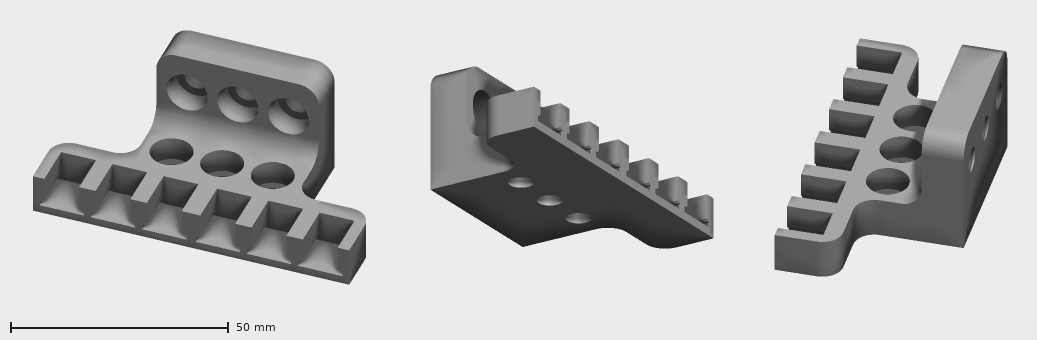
import cadquery as cq

length = 77.9
depth = 40.0
height = 30.0
thickness = 10.0
wall_width = 40.05
corner_radius = 5.0

bar_depth = 15.0

hole_count = 3
hole_pitch = 12.5
hole_diameter = 6.1
counterbore_diameter = 10.1
counterbore_depth = 6.0
hole_offset = thickness

slots_per_side = 3
slot_pitch = 12.6
middle_slot_pitch = 13.2
slot_depth = 10.8
slot_width = 8.6
undercut_width = 10.9
slot_floor = 2.0
undercut_top = 3.4
lip_chamfer = 0.55

wall_front = depth - thickness


def bracket_body():
    """Build the base plate and the wall with all their rounded corners."""
    bar = (
        cq.Workplane("XY")
        .rect(length, bar_depth)
        .extrude(thickness)
        .translate((0, bar_depth / 2, 0))
    )
    neck = (
        cq.Workplane("XY")
        .rect(wall_width, depth)
        .extrude(thickness)
        .translate((0, depth / 2, 0))
    )
    plate = bar.union(neck)
    tolerance = 0.1
    bar_back_corners = cq.selectors.BoxSelector(
        (-length, bar_depth - tolerance, -tolerance),
        (length, bar_depth + tolerance, thickness + tolerance),
    )
    plate = plate.edges("|Z").edges(bar_back_corners).fillet(corner_radius)

    wall = (
        cq.Workplane("XY")
        .rect(wall_width, thickness)
        .extrude(height)
        .translate((0, depth - thickness / 2, 0))
        .edges("|Y and >Z")
        .fillet(corner_radius)
    )
    return plate.union(wall).union(inner_fillet())


def inner_fillet():
    """Build the concave fillet between the top of the plate and the front of the wall."""
    return (
        cq.Workplane("YZ")
        .moveTo(wall_front, thickness)
        .lineTo(wall_front - corner_radius, thickness)
        .radiusArc((wall_front, thickness + corner_radius), -corner_radius)
        .close()
        .extrude(wall_width / 2, both=True)
    )


def slot(center_x):
    """Build the cutter for one slot, wider at its floor than at its mouth."""
    half_mouth = slot_width / 2
    half_undercut = undercut_width / 2
    return (
        cq.Workplane("XZ")
        .moveTo(half_mouth, thickness)
        .lineTo(half_mouth, undercut_top + lip_chamfer)
        .lineTo(half_mouth + lip_chamfer, undercut_top)
        .lineTo(half_undercut, undercut_top)
        .lineTo(half_undercut, slot_floor)
        .lineTo(0, slot_floor)
        .lineTo(0, thickness)
        .close()
        .extrude(-slot_depth)
        .mirror("YZ", union=True)
        .translate((center_x, 0, 0))
    )


def hole_row_cutter():
    """Build a row of counterbored hole cutters that enter at Z = 0 and go down."""
    row = cq.Workplane("XY").rarray(hole_pitch, 0.8, hole_count, 1)
    counterbores = row.circle(counterbore_diameter / 2).extrude(-counterbore_depth)
    holes = row.circle(hole_diameter / 2).extrude(-thickness)
    return counterbores.union(holes)


plate_holes = hole_row_cutter().translate((0, wall_front - hole_offset, thickness))
wall_holes = (
    hole_row_cutter()
    .rotate((0, 0, 0), (1, 0, 0), 90)
    .translate((0, wall_front, thickness + hole_offset))
)

result = bracket_body().cut(plate_holes).cut(wall_holes)
for index in range(slots_per_side):
    slot_x = middle_slot_pitch / 2 + index * slot_pitch
    for side in (-1, 1):
        result = result.cut(slot(side * slot_x))